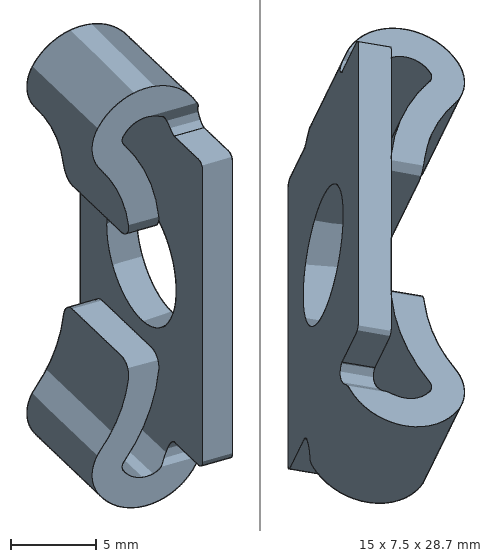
import cadquery as cq
import math


thickness = 2.0
plate_width = 15.0
total_height = 28.7
total_depth = 7.5
plate_corner_radius = 0.5
hole_diameter = 8.5

hook_width = 8.0
bend_inner_radius = 1.85
curl_inner_radius = 0.5
arm_front_depth = 5.0
tip_corner_radius = 1.0

relief_radius = 0.8
relief_lip_radius = 0.52

bend_outer_radius = bend_inner_radius + thickness
curl_outer_radius = curl_inner_radius + thickness
plate_top = total_height / 2 - bend_outer_radius
tip_z = hole_diameter / 2

bend_center = (-bend_outer_radius, plate_top)
curl_y = curl_outer_radius - total_depth
curl_rise = math.sqrt((bend_outer_radius - curl_outer_radius) ** 2 - (curl_y - bend_center[0]) ** 2)
curl_center = (curl_y, plate_top + curl_rise)
tip_drop = curl_center[1] - tip_z
tip_offset = arm_front_depth + curl_y
arm_front_radius = (tip_drop**2 + tip_offset**2 - curl_outer_radius**2) / (
    2 * (curl_outer_radius - tip_offset)
)
arm_back_radius = arm_front_radius + thickness
arm_center = (-arm_front_depth - arm_front_radius, tip_z)


def direction(start, end):
    """Angle of the line from start to end, in radians."""
    return math.atan2(end[1] - start[1], end[0] - start[0])


def on_circle(center, radius, angle):
    return (center[0] + radius * math.cos(angle), center[1] + radius * math.sin(angle))


def add_arc(path, center, radius, start_angle, end_angle):
    middle = on_circle(center, radius, (start_angle + end_angle) / 2)
    return path.threePointArc(middle, on_circle(center, radius, end_angle))


def make_plate():
    plate = cq.Workplane("XZ").rect(plate_width, 2 * plate_top).extrude(thickness)
    plate = plate.edges("|Y").fillet(plate_corner_radius)
    return plate.faces("<Y").workplane().hole(hole_diameter)


def make_hook_strip():
    """Constant-thickness strip: bend, tight curl, then an arm curving back down."""
    curl_start = direction(bend_center, curl_center)
    curl_end = direction(curl_center, arm_center) + 2 * math.pi
    arm_start = curl_end - math.pi
    arm_end = 0

    path = cq.Workplane("YZ", origin=(-hook_width / 2, 0, 0)).moveTo(0, plate_top)
    path = add_arc(path, bend_center, bend_outer_radius, 0, curl_start)
    path = add_arc(path, curl_center, curl_outer_radius, curl_start, curl_end)
    path = add_arc(path, arm_center, arm_front_radius, arm_start, arm_end)
    path = path.lineTo(*on_circle(arm_center, arm_back_radius, arm_end))
    path = add_arc(path, arm_center, arm_back_radius, arm_end, arm_start)
    path = add_arc(path, curl_center, curl_inner_radius, curl_end, curl_start)
    path = add_arc(path, bend_center, bend_inner_radius, curl_start, 0)
    strip = path.close().extrude(hook_width)
    return strip.faces("<Z").edges("|Y").fillet(tip_corner_radius)


def make_relief():
    """Scallop in the -X side of the bend, from the plate edge to the bend's inner crest.

    A concave arc starts at the plate edge and runs into a rounded lip that is tangent
    to the hook side. In the outline, X runs into the hook and Y runs up.
    """
    start = (0, 0)
    lip_center = (relief_lip_radius, bend_inner_radius)
    lip_distance = math.hypot(*lip_center)
    center_distance = relief_radius + relief_lip_radius
    swing = math.acos(
        (relief_radius**2 + lip_distance**2 - center_distance**2) / (2 * relief_radius * lip_distance)
    )
    scallop_center = on_circle(start, relief_radius, direction(start, lip_center) + swing)
    scallop_start = direction(scallop_center, start)
    scallop_end = direction(scallop_center, lip_center)

    outline = cq.Workplane("XZ", origin=(-hook_width / 2, 0, plate_top)).moveTo(*start)
    outline = add_arc(outline, scallop_center, relief_radius, scallop_start, scallop_end)
    outline = add_arc(outline, lip_center, relief_lip_radius, scallop_end + math.pi, math.pi)
    return outline.close().extrude(bend_outer_radius)


relief = make_relief()
upper_hook = make_hook_strip().cut(relief).cut(relief.mirror("YZ"))
lower_hook = upper_hook.mirror("XY")
result = make_plate().union(upper_hook).union(lower_hook)